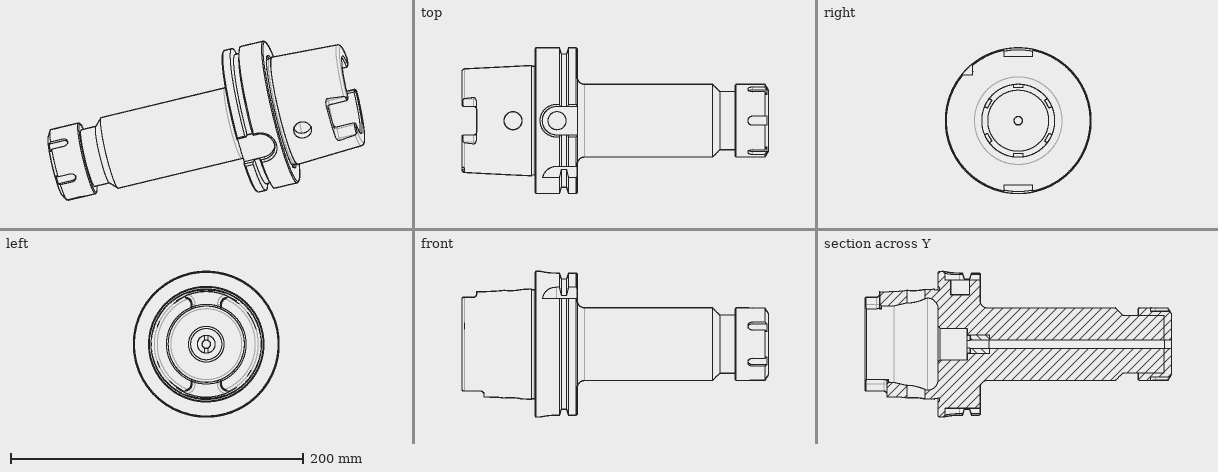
import cadquery as cq
import math


taper_length = 50.0
taper_slope = 1 / 20
taper_base_radius = 38.0
taper_tip_rounding = 2.0
cross_hole_x = -15.0
cross_hole_radius = 6.1

undercut_start = -2.4
undercut_bend = -0.7
undercut_depth = 0.6
undercut_root_depth = 1.1
undercut_face_radius = 39.6
undercut_face_depth = 1.0

clamp_bore_radius = 26.1
clamp_bore_straight = 20.0
clamp_recess_radius = 31.4
clamp_floor_x = 0.0
clamp_floor_fillet = 7.1
mouth_chamfer = 1.2

drive_half_width = 9.7
drive_corner_radius = 5.0
drive_corner_height = 32.2
drive_root_rounding = 2.0
drive_entry_chamfer = 0.8
drive_depth_upper = 10.0
drive_depth_lower = 15.0

flange_length = 29.0
flange_radius = 50.0
flange_front_chamfer = 0.8
flange_rear_chamfer = 0.8
groove_center_x = 19.9
groove_top_width = 6.2
groove_floor_width = 3.6
groove_floor_radius = 45.7

keyway_x = 14.7
keyway_radius = 9.7
keyway_floor = 44.0
keyway_chamfer = 1.5
keyway_hole_x = 15.1
keyway_hole_radius = 6.2
keyway_hole_depth = 10.0
notch_offset = 31.3

shaft_radius = 25.0
shaft_root_fillet = 5.0
shaft_end_x = 121.6
neck_radius = 20.0
neck_start_x = shaft_end_x + shaft_radius - neck_radius

connection_radius = 10.7
connection_chamfer = 1.5
connection_depth = 20.0
screw_radius = 6.1
screw_length = 15.0
screw_slot_width = 2.2
screw_slot_depth = 2.0
passage_radius = 2.8

nut_start_x = 137.0
nut_end_x = 160.0
nut_radius = 25.0
nut_rear_chamfer = 0.8
nut_cone_length = 2.5
nut_cone_radius = 20.9
nut_wall = 5.0
nut_slot_count = 6
nut_slot_start_x = 145.8
nut_slot_radius = 3.1
nut_slot_floor = 22.6
nose_end_x = nut_end_x - nut_wall

overcut = 5.0


def revolve_about_x(outline):
    """Close a sketch drawn in (x, radius) and revolve it about the tool axis."""
    return outline.close().revolve(360, (0, 0, 0), (1, 0, 0))


def cylinder_x(start, end, radius):
    return cq.Workplane("YZ").workplane(offset=start).circle(radius).extrude(end - start)


def u_cutter(center_y, radius, floor_z, height):
    """Slot with a round end at keyway_x, running out of the rear flange face, cut from above."""
    run_out = flange_length + overcut
    return (
        cq.Workplane("XY", origin=(0, 0, floor_z))
        .moveTo(run_out, center_y - radius)
        .lineTo(keyway_x, center_y - radius)
        .threePointArc((keyway_x - radius, center_y), (keyway_x, center_y + radius))
        .lineTo(run_out, center_y + radius)
        .close()
        .extrude(height)
    )


def make_flange():
    flange = cylinder_x(0, flange_length, flange_radius)
    flange = flange.faces("<X").chamfer(flange_front_chamfer)
    flange = flange.faces(">X").chamfer(flange_rear_chamfer)

    keyway = u_cutter(0, keyway_radius, keyway_floor, flange_radius)
    for angle in (0, 180):
        flange = flange.cut(keyway.rotate((0, 0, 0), (1, 0, 0), angle))
    rim_y = keyway_radius + keyway_chamfer
    for side in (1, -1):
        rim = cq.selectors.BoxSelector(
            (0, -rim_y, side * (keyway_floor + keyway_chamfer)),
            (flange_length - flange_rear_chamfer, rim_y, side * (flange_radius + keyway_chamfer)),
        )
        flange = flange.edges(rim).chamfer(keyway_chamfer)

    groove = revolve_about_x(
        cq.Workplane("XY")
        .moveTo(groove_center_x - groove_floor_width / 2, groove_floor_radius)
        .lineTo(groove_center_x + groove_floor_width / 2, groove_floor_radius)
        .lineTo(groove_center_x + groove_top_width / 2, flange_radius)
        .lineTo(groove_center_x + groove_top_width / 2, flange_radius + overcut)
        .lineTo(groove_center_x - groove_top_width / 2, flange_radius + overcut)
        .lineTo(groove_center_x - groove_top_width / 2, flange_radius)
    )
    flange = flange.cut(groove)

    notch_center_y = -notch_offset - keyway_radius
    return flange.cut(u_cutter(notch_center_y, keyway_radius, notch_offset, flange_radius))


def make_taper():
    tip_radius = taper_base_radius - taper_slope * taper_length
    undercut_radius = taper_base_radius - undercut_depth
    undercut_root_radius = taper_base_radius - undercut_root_depth
    cone = revolve_about_x(
        cq.Workplane("XY")
        .moveTo(-taper_length, 0)
        .lineTo(-taper_length, tip_radius)
        .lineTo(undercut_start, taper_base_radius + taper_slope * undercut_start)
        .lineTo(undercut_start, undercut_radius)
        .lineTo(undercut_bend, undercut_radius)
        .lineTo(undercut_face_depth, undercut_root_radius)
        .lineTo(undercut_face_depth, 0)
    )
    return cone.faces("<X").edges().fillet(taper_tip_rounding)


def make_shaft():
    root_radius = shaft_radius + shaft_root_fillet
    fillet_mid = shaft_root_fillet * (1 - math.sqrt(0.5))
    return revolve_about_x(
        cq.Workplane("XY")
        .moveTo(flange_length, 0)
        .lineTo(flange_length, root_radius)
        .threePointArc(
            (flange_length + fillet_mid, shaft_radius + fillet_mid),
            (flange_length + shaft_root_fillet, shaft_radius),
        )
        .lineTo(shaft_end_x, shaft_radius)
        .lineTo(neck_start_x, neck_radius)
        .lineTo(nose_end_x, neck_radius)
        .lineTo(nose_end_x, 0)
    )


def face_relief():
    """Ring-shaped relief in the flange face around the taper."""
    relief_radius = taper_base_radius - undercut_root_depth
    return revolve_about_x(
        cq.Workplane("XY")
        .moveTo(0, relief_radius)
        .lineTo(0, undercut_face_radius)
        .lineTo(undercut_face_depth, taper_base_radius + undercut_face_depth)
        .lineTo(undercut_face_depth, relief_radius)
    )


def drive_profile(start_x):
    """Outline across the tool axis of a +Z slot that flares along round corners to a flat shoulder."""
    corner_start = drive_corner_height - drive_corner_radius
    shoulder_y = drive_half_width + drive_corner_radius
    arc_mid_y = shoulder_y - drive_corner_radius * math.sqrt(0.5)
    arc_mid_z = corner_start + drive_corner_radius * math.sqrt(0.5)
    side_y = taper_base_radius
    top_z = taper_base_radius + overcut
    return (
        cq.Workplane("YZ", origin=(start_x, 0, 0))
        .moveTo(-drive_half_width, 0)
        .lineTo(-drive_half_width, corner_start)
        .threePointArc((-arc_mid_y, arc_mid_z), (-shoulder_y, drive_corner_height))
        .lineTo(-side_y, drive_corner_height)
        .lineTo(-side_y, top_z)
        .lineTo(side_y, top_z)
        .lineTo(side_y, drive_corner_height)
        .lineTo(shoulder_y, drive_corner_height)
        .threePointArc((arc_mid_y, arc_mid_z), (drive_half_width, corner_start))
        .lineTo(drive_half_width, 0)
        .close()
    )


def drive_slot(depth):
    """Slot cutter with a rounded root, plus a 45 degree chamfer where the slot enters the tip."""
    slot = drive_profile(-taper_length - overcut).extrude(depth + overcut)
    side_y = taper_base_radius
    side_edges = cq.selectors.BoxSelector(
        (-taper_length, -side_y + 1, 1), (0, side_y - 1, taper_base_radius)
    )
    slot = slot.faces(">X").edges(side_edges).fillet(drive_root_rounding)
    entry = drive_profile(-taper_length).offset2D(drive_entry_chamfer)
    return slot.union(entry.extrude(drive_entry_chamfer, taper=45))


def mouth_cone(face_x):
    """Chamfer of the clamping bore edge where it opens at face_x."""
    return revolve_about_x(
        cq.Workplane("XY")
        .moveTo(face_x, 0)
        .lineTo(face_x, clamp_bore_radius + mouth_chamfer)
        .lineTo(face_x + mouth_chamfer, clamp_bore_radius)
        .lineTo(face_x + mouth_chamfer, 0)
    )


def inner_bores():
    """Clamping bore, coolant connection, screw seat and coolant passage."""
    seat_x = clamp_floor_x + connection_depth
    seat_end = seat_x + screw_length
    fillet_mid = clamp_floor_fillet * (1 - math.sqrt(0.5))
    return revolve_about_x(
        cq.Workplane("XY")
        .moveTo(-taper_length, 0)
        .lineTo(-taper_length, clamp_bore_radius + mouth_chamfer)
        .lineTo(-taper_length + mouth_chamfer, clamp_bore_radius)
        .lineTo(clamp_bore_straight - taper_length, clamp_bore_radius)
        .lineTo(clamp_floor_x - clamp_floor_fillet, clamp_recess_radius)
        .threePointArc(
            (clamp_floor_x - fillet_mid, clamp_recess_radius - fillet_mid),
            (clamp_floor_x, clamp_recess_radius - clamp_floor_fillet),
        )
        .lineTo(clamp_floor_x, connection_radius + connection_chamfer)
        .lineTo(clamp_floor_x + connection_chamfer, connection_radius)
        .lineTo(seat_x, connection_radius)
        .lineTo(seat_x, screw_radius)
        .lineTo(seat_end, screw_radius)
        .lineTo(seat_end, passage_radius)
        .lineTo(nose_end_x, passage_radius)
        .lineTo(nose_end_x, 0)
    )


def make_holder():
    holder = make_flange().cut(face_relief()).union(make_taper()).union(make_shaft())
    holder = holder.cut(inner_bores())

    for depth, angle in ((drive_depth_upper, 0), (drive_depth_lower, 180)):
        slot_span = cq.Workplane("XY").box(
            2 * taper_length, 2 * drive_half_width, taper_base_radius, centered=(True, True, False)
        )
        root_chamfer = mouth_cone(depth - taper_length).intersect(slot_span)
        cutter = drive_slot(depth)
        holder = holder.cut(cutter.rotate((0, 0, 0), (1, 0, 0), angle))
        holder = holder.cut(root_chamfer.rotate((0, 0, 0), (1, 0, 0), angle))

    cross_hole = (
        cq.Workplane("XY", origin=(cross_hole_x, 0, -taper_base_radius))
        .circle(cross_hole_radius)
        .extrude(2 * taper_base_radius)
    )
    keyway_hole = (
        cq.Workplane("XY", origin=(keyway_hole_x, 0, keyway_floor))
        .circle(keyway_hole_radius)
        .extrude(-keyway_hole_depth)
    )
    return holder.cut(cross_hole).cut(keyway_hole)


def make_screw():
    """Slotted stop screw with a coolant passage, flush with the floor of the connection bore."""
    start = clamp_floor_x + connection_depth
    screw = cylinder_x(start, start + screw_length, screw_radius)
    screw = screw.cut(cylinder_x(start, start + screw_length, passage_radius))
    slot = cq.Workplane("XY", origin=(start, 0, 0)).box(
        2 * screw_slot_depth, screw_slot_width, 2 * screw_radius
    )
    return screw.cut(slot)


def make_nut():
    nut = revolve_about_x(
        cq.Workplane("XY")
        .moveTo(nut_start_x, neck_radius)
        .lineTo(nut_start_x, nut_radius - nut_rear_chamfer)
        .lineTo(nut_start_x + nut_rear_chamfer, nut_radius)
        .lineTo(nut_end_x - nut_cone_length, nut_radius)
        .lineTo(nut_end_x, nut_cone_radius)
        .lineTo(nut_end_x, passage_radius)
        .lineTo(nose_end_x, passage_radius)
        .lineTo(nose_end_x, neck_radius)
    )
    slot_center_x = nut_slot_start_x + nut_slot_radius
    slot = (
        cq.Workplane("XY", origin=(0, 0, nut_slot_floor))
        .moveTo(nut_end_x + overcut, -nut_slot_radius)
        .lineTo(slot_center_x, -nut_slot_radius)
        .threePointArc((nut_slot_start_x, 0), (slot_center_x, nut_slot_radius))
        .lineTo(nut_end_x + overcut, nut_slot_radius)
        .close()
        .extrude(overcut)
    )
    for index in range(nut_slot_count):
        nut = nut.cut(slot.rotate((0, 0, 0), (1, 0, 0), index * 360 / nut_slot_count))
    return nut


holder = make_holder()
screw = make_screw()
nut = make_nut()

result = cq.Compound.makeCompound([holder.val(), screw.val(), nut.val()])